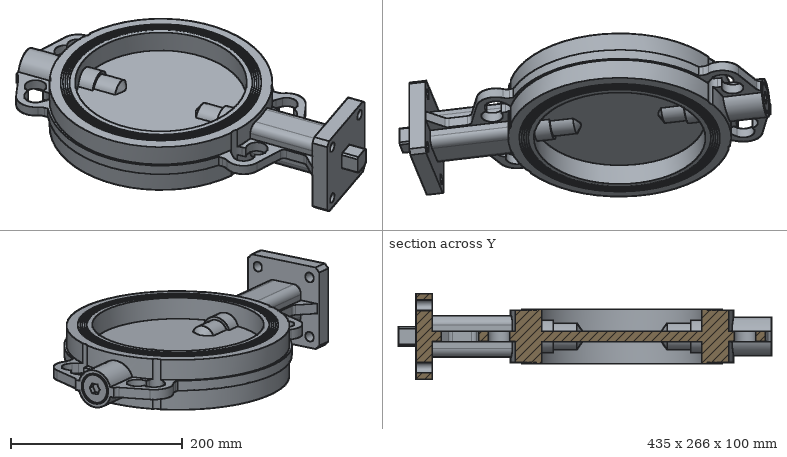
import cadquery as cq
import math


BODY_R = 130.0
BODY_H = 61.5
BODY_HALF_H = BODY_H / 2
RIB_DIAMETER = 266.0
RIB_R = RIB_DIAMETER / 2
RIB_T = 12.0
LINER_R = 117.0
LINER_H = 64.0
LINER_HALF_H = LINER_H / 2
BORE_R = 100.0
GROOVE_WIDTH = 2.5
GROOVE_OUTER_RADII = (114.5, 109.0)

DISC_T = 12.5
DISC_HALF_T = DISC_T / 2
HUB_R = 19.0
HUB_INNER_X = 80.0
PIN_R = 15.5
PIN_INNER_X = 52.5
PIN_TIP_LENGTH = 11.0

LUG_ANGLE = 22.8
LUG_PITCH_R = 146.5
LUG_R = 22.5
BOLT_R = 13.0
RELIEF_PITCH_R = 138.0
RELIEF_R = 9.0
SECOND_BOLT_ANGLE = 15.3
SECOND_BOLT_PITCH_R = 148.8
SECOND_BOLT_R = 12.5
LUG_ROOT_FILLET_R = 13.0
LUG_ROOT_X = 110.5
LUG_ROOT_Y = 73.5

WEB_W = 53.5
WEB_HALF_W = WEB_W / 2
WEB_TOE_X = 171.5
WEB_FILLET_R = 6.5

LOWER_END_X = -174.5
LOWER_NECK_R = 22.5
BEARING_OUTER_R = 18.3
BEARING_INNER_R = 17.0
BEARING_GAP_DEPTH = 1.5
SOCKET_ACROSS_FLATS = 12.0
SOCKET_DEPTH = 6.5

NECK_SIDE = 48.5
NECK_FLAT_W = 27.5
NECK_CORNER_R = (NECK_SIDE - NECK_FLAT_W) / 2
PLATE_X = 221.0
PLATE_T = 19.0
PLATE_SIDE = 100.0
PLATE_CHAMFER = 5.2
PLATE_HOLE_PITCH = 72.5
PLATE_HOLE_DIAMETER = 11.7
GUSSET_HALF_W = 47.0
DRIVE_END_X = 260.5
DRIVE_SIDE = 22.5
DRIVE_CHAMFER = 2.0


def disc_about_z(radius, half_height):
    return cq.Workplane("XY").circle(radius).extrude(half_height, both=True)


def plane_across_x(x):
    """Plane facing +X, with local x along Y and local y along Z."""
    return cq.Workplane("YZ", origin=(x, 0, 0))


def polar(radius, angle):
    return (radius * math.cos(math.radians(angle)), radius * math.sin(math.radians(angle)))


def on_circle(center, radius, angle):
    dx, dy = polar(radius, angle)
    return (center[0] + dx, center[1] + dy)


def in_four_quadrants(solid):
    right_pair = solid.union(solid.mirror("XZ"))
    return right_pair.union(right_pair.mirror("YZ"))


LUG_CENTER = polar(LUG_PITCH_R, LUG_ANGLE)


def lug():
    """Ear in the +X +Y quadrant: tangent flank, round nose and a concave root at the rib."""
    toe = (WEB_TOE_X, WEB_HALF_W)
    to_toe = (toe[0] - LUG_CENTER[0], toe[1] - LUG_CENTER[1])
    toe_angle = math.degrees(math.atan2(to_toe[1], to_toe[0]))
    flank_angle = toe_angle + math.degrees(math.acos(LUG_R / math.hypot(*to_toe)))
    root_center_y = LUG_ROOT_Y + LUG_ROOT_FILLET_R
    center_gap = LUG_R + LUG_ROOT_FILLET_R
    root_angle = 180 - math.degrees(math.asin((root_center_y - LUG_CENTER[1]) / center_gap))
    root_center = on_circle(LUG_CENTER, center_gap, root_angle)
    root_mid_angle = (root_angle + 180 + 270) / 2
    nose_mid_angle = (flank_angle + root_angle) / 2
    return (
        cq.Workplane("XY", origin=(0, 0, -RIB_T / 2))
        .moveTo(0, 0)
        .lineTo(WEB_TOE_X, 0)
        .lineTo(*toe)
        .lineTo(*on_circle(LUG_CENTER, LUG_R, flank_angle))
        .threePointArc(
            on_circle(LUG_CENTER, LUG_R, nose_mid_angle),
            on_circle(LUG_CENTER, LUG_R, root_angle),
        )
        .threePointArc(
            on_circle(root_center, LUG_ROOT_FILLET_R, root_mid_angle),
            (root_center[0], LUG_ROOT_Y),
        )
        .lineTo(LUG_ROOT_X, LUG_ROOT_Y)
        .close()
        .extrude(RIB_T)
    )


def bolt_hole():
    """Pear-shaped slot tapering towards the body, joined by a second round hole."""
    relief_center = polar(RELIEF_PITCH_R, LUG_ANGLE)
    spread = math.degrees(math.acos((BOLT_R - RELIEF_R) / (LUG_PITCH_R - RELIEF_PITCH_R)))
    inward = LUG_ANGLE + 180
    pear = (
        cq.Workplane("XY")
        .moveTo(*on_circle(LUG_CENTER, BOLT_R, inward - spread))
        .threePointArc(
            on_circle(LUG_CENTER, BOLT_R, LUG_ANGLE),
            on_circle(LUG_CENTER, BOLT_R, inward + spread),
        )
        .lineTo(*on_circle(relief_center, RELIEF_R, inward + spread))
        .threePointArc(
            on_circle(relief_center, RELIEF_R, inward),
            on_circle(relief_center, RELIEF_R, inward - spread),
        )
        .close()
        .extrude(LINER_HALF_H, both=True)
    )
    second_center = polar(SECOND_BOLT_PITCH_R, SECOND_BOLT_ANGLE)
    return pear.union(disc_about_z(SECOND_BOLT_R, LINER_HALF_H).translate(second_center + (0,)))


def web():
    """Lugs on both sides, joined by a flat strip that widens into gussets at the plate."""
    gusset_start_x = PLATE_X - (GUSSET_HALF_W - WEB_HALF_W)
    strip = (
        cq.Workplane("XY", origin=(0, 0, -RIB_T / 2))
        .polyline([
            (0, 0),
            (PLATE_X, 0),
            (PLATE_X, GUSSET_HALF_W),
            (gusset_start_x, WEB_HALF_W),
            (0, WEB_HALF_W),
        ])
        .close()
        .extrude(RIB_T)
    )
    right = lug().union(strip)
    margin = RIB_T / 2
    bends = cq.selectors.BoxSelector(
        (WEB_TOE_X - margin, WEB_HALF_W - margin, -RIB_T),
        (gusset_start_x + margin, WEB_HALF_W + margin, RIB_T),
    )
    right = right.edges("|Z").edges(bends).fillet(WEB_FILLET_R)
    left = right.mirror("YZ").intersect(
        cq.Workplane("XY").box(-LOWER_END_X, 2 * RIB_R, RIB_T).translate((LOWER_END_X / 2, 0, 0))
    )
    half = right.union(left)
    return half.union(half.mirror("XZ"))


def lower_neck():
    return plane_across_x(LOWER_END_X).circle(LOWER_NECK_R).extrude(-LOWER_END_X)


def upper_neck():
    neck = plane_across_x(0).rect(NECK_SIDE, NECK_SIDE).extrude(PLATE_X)
    return neck.edges("|X").fillet(NECK_CORNER_R)


def actuator_plate():
    plate = plane_across_x(PLATE_X).rect(PLATE_SIDE, PLATE_SIDE).extrude(PLATE_T)
    plate = plate.edges("|X").chamfer(PLATE_CHAMFER)
    holes = (
        plane_across_x(PLATE_X)
        .rect(PLATE_HOLE_PITCH, PLATE_HOLE_PITCH, forConstruction=True)
        .vertices()
        .circle(PLATE_HOLE_DIAMETER / 2)
        .extrude(PLATE_T)
    )
    return plate.cut(holes)


def square_drive():
    drive = plane_across_x(PLATE_X).rect(DRIVE_SIDE, DRIVE_SIDE).extrude(DRIVE_END_X - PLATE_X)
    return drive.edges("|X").chamfer(DRIVE_CHAMFER)


def liner_grooves():
    """Concentric sealing grooves in both end faces, cut back to the level of the body faces."""
    depth = LINER_HALF_H - BODY_HALF_H
    top = cq.Workplane("XY")
    for outer_r in GROOVE_OUTER_RADII:
        ring = (
            cq.Workplane("XY", origin=(0, 0, BODY_HALF_H))
            .circle(outer_r)
            .circle(outer_r - GROOVE_WIDTH)
            .extrude(depth)
        )
        top = top.add(ring)
    top = top.combine()
    return top.add(top.mirror("XY")).combine()


def shaft_hubs():
    """Hub and stepped pin with a conical tip, at both ends of the disc; ends inside the ring."""
    right = (
        cq.Workplane("XY")
        .polyline([
            (PIN_INNER_X - PIN_TIP_LENGTH, 0),
            (PIN_INNER_X, PIN_R),
            (HUB_INNER_X, PIN_R),
            (HUB_INNER_X, HUB_R),
            (LINER_R, HUB_R),
            (LINER_R, 0),
        ])
        .close()
        .revolve(360, (0, 0, 0), (1, 0, 0))
    )
    return right.union(right.mirror("YZ"))


def lower_end_cuts():
    """Shallow ring-shaped gap around the bearing plug and a hexagon socket at its centre."""
    end_face = plane_across_x(LOWER_END_X)
    gap = end_face.circle(BEARING_OUTER_R).circle(BEARING_INNER_R).extrude(BEARING_GAP_DEPTH)
    socket_diameter = SOCKET_ACROSS_FLATS / math.cos(math.radians(30))
    socket = plane_across_x(LOWER_END_X).polygon(6, socket_diameter).extrude(SOCKET_DEPTH)
    return gap.add(socket).combine()


valve = disc_about_z(BODY_R, BODY_HALF_H).union(disc_about_z(RIB_R, RIB_T / 2)).union(web())
valve = valve.cut(in_four_quadrants(bolt_hole()))
valve = valve.union(lower_neck()).union(upper_neck())
valve = valve.union(actuator_plate()).union(square_drive())
valve = valve.union(disc_about_z(LINER_R, LINER_HALF_H))
valve = valve.cut(liner_grooves()).cut(disc_about_z(BORE_R, LINER_HALF_H))

valve = valve.union(disc_about_z(BORE_R, DISC_HALF_T)).union(shaft_hubs())
result = valve.cut(lower_end_cuts())